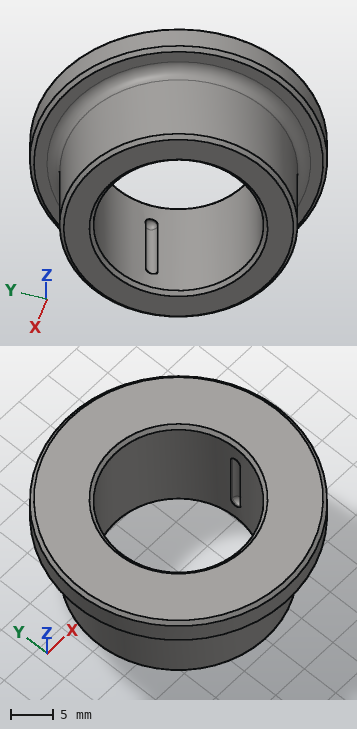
import cadquery as cq

flange_diameter = 35.0
body_diameter = 28.0
bore_diameter = 20.0
total_height = 16.0
flange_thickness = 4.02
edge_chamfer = 0.5
neck_fillet = 1.5

groove_width = 1.5
groove_length = 10.0
groove_axis_offset = 0.2

flange_radius = flange_diameter / 2
body_radius = body_diameter / 2
bore_radius = bore_diameter / 2
flange_bottom = total_height - flange_thickness


def make_bushing():
    """Flanged sleeve with a filleted neck and chamfered rims."""
    body = cq.Workplane("XY").circle(body_radius).extrude(total_height)
    flange = (
        cq.Workplane("XY")
        .workplane(offset=flange_bottom)
        .circle(flange_radius)
        .extrude(flange_thickness)
    )
    neck = cq.selectors.RadiusNthSelector(0)
    outside = body.union(flange)
    outside = outside.faces("<Z[1]").edges(neck).fillet(neck_fillet)
    outside = outside.faces("<Z or >Z").edges().chamfer(edge_chamfer)
    flange_rim = cq.selectors.RadiusNthSelector(-1)
    outside = outside.edges(flange_rim).edges("<Z").chamfer(edge_chamfer)
    bored = outside.cut(cq.Workplane("XY").circle(bore_radius).extrude(total_height))
    return bored.faces("<Z or >Z").edges(cq.selectors.RadiusNthSelector(0)).chamfer(edge_chamfer)


def make_groove():
    """Cutter with straight flanks, a half-round floor and spherical ends."""
    groove_axis_x = bore_radius + groove_axis_offset
    groove_radius = groove_width / 2
    half_straight = groove_length / 2 - groove_radius
    middle = cq.Workplane("XY").workplane(offset=total_height / 2)
    flanks = (
        cq.Workplane("YZ")
        .center(0, total_height / 2)
        .slot2D(groove_length, groove_width, 90)
        .extrude(groove_axis_x)
    )
    round_floor = (
        middle.center(groove_axis_x, 0)
        .circle(groove_radius)
        .extrude(half_straight, both=True)
    )
    groove = flanks.union(round_floor)
    for end_z in (total_height / 2 - half_straight, total_height / 2 + half_straight):
        ball = cq.Workplane("XY").sphere(groove_radius).translate((groove_axis_x, 0, end_z))
        groove = groove.union(ball)
    return groove


result = make_bushing().cut(make_groove())